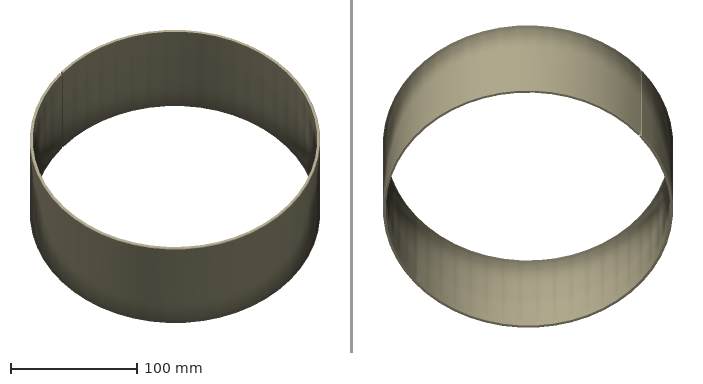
import cadquery as cq

outer_diameter = 230.0
wall_thickness = 2.3
height = 90.0
outer_rim_chamfer = 0.5
slit_width = 1.5

outer_radius = outer_diameter / 2
inner_radius = outer_radius - wall_thickness

ring = cq.Workplane("XY").circle(outer_radius).circle(inner_radius).extrude(height)

outer_rims = cq.selectors.RadiusNthSelector(-1)
ring = ring.edges(outer_rims).chamfer(outer_rim_chamfer)

slit_cutter = cq.Workplane("XY").box(
    outer_radius, slit_width, height, centered=False
).translate((-outer_radius, 0, 0))

result = ring.cut(slit_cutter)